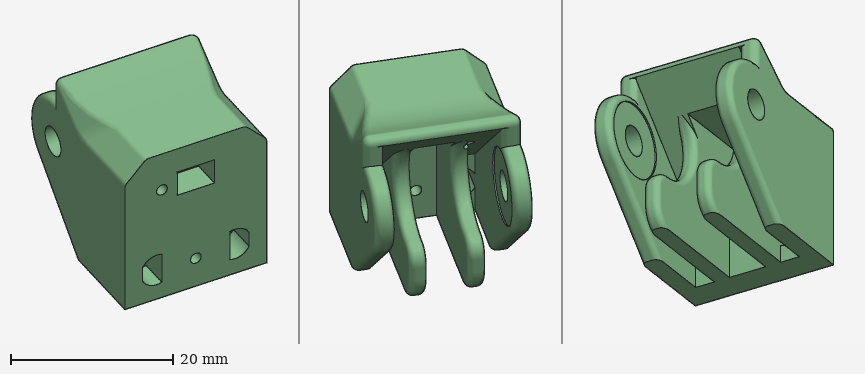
import cadquery as cq
import math

LENGTH = 24.25
WIDTH = 20.0
HALF_WIDTH = WIDTH / 2

EAR_RADIUS = 6.0
PIVOT_X = EAR_RADIUS
PIVOT_Z = 13.999
EAR_THICKNESS = 2.5
EAR_ROUND = 0.8
PIVOT_BORE = 4.0
WASHER_DIAMETER = 10.0
WASHER_DEPTH = 0.2
INNER_HALF = HALF_WIDTH - EAR_THICKNESS

ROOF_Z = 21.998
ROOF_END_X = 15.03
SWEEP_RADIUS = 16.35
SWEEP_END_X = 8.65
CHAMFER = 3.0
HEAD_ROUND = 1.0

FLARE_POINTS = ((10.76, 0.15, 20.75), (8.73, 0.73, 23.32), (16.25, 3.0, 21.9))
FLARE_ROUND = 4.0

CLEARANCE_RADIUS = 6.28
REAR_WALL = 4.0
REAR_FACE_X = LENGTH - REAR_WALL
CEILING_SUM = PIVOT_X + PIVOT_Z + CLEARANCE_RADIUS * math.sqrt(2)

RIB_INNER = 2.62
RIB_THICKNESS = 2.18
RIB_FRONT_X = 3.5
RIB_LOWER_RADIUS = 4.0
RIB_LOWER_Z = 3.08
CLEARANCE_BOTTOM_Z = PIVOT_Z - CLEARANCE_RADIUS
CHANNEL_TOP = PIVOT_Z + CLEARANCE_RADIUS * math.sin(math.pi / 4)
WINDOW_BOTTOM = 14.88

SMALL_HOLE = 1.5
LARGE_HOLE = 4.5
LARGE_HOLE_Y = 5.5
LOWER_HOLE_Z = 4.3
LARGE_HOLE_Z = 4.48
UPPER_HOLE_Y = -4.78
UPPER_HOLE_Z = 16.48

EMBED = 1.2
BEYOND = 48.48
CLEAR_OF = 0.25
TOUCH = 0.002


def polar(radius, degrees):
    """Point on a circle around the pivot, in the XZ plane."""
    angle = math.radians(degrees)
    return PIVOT_X + radius * math.cos(angle), PIVOT_Z + radius * math.sin(angle)


def extrude_y(outline, y_low, y_high):
    """Extrude a closed XZ outline between two Y positions."""
    return outline.extrude(y_low - y_high).translate((0, y_low, 0))


def box(x_range, y_range, z_range):
    corners = list(zip(x_range, y_range, z_range))
    size = [high - low for low, high in zip(*corners)]
    return cq.Workplane("XY").box(*size, centered=False).translate(corners[0])


def round_rim(plate, radius, is_rim):
    """Round the edges lying on both flat sides of a plate that satisfy is_rim(centre)."""
    edges = [e for e in plate.faces("|Y").edges().vals() if is_rim(e.Center())]
    return plate.newObject(edges).fillet(radius)


def make_side_plate():
    """Side plate with its hinge ear, for the -Y side."""
    tangent_x, tangent_z = polar(EAR_RADIUS, 225)
    ear_top = PIVOT_Z + EAR_RADIUS
    buried_x = PIVOT_X + 3 * EMBED
    shoulder_z = ROOF_Z - CHAMFER - EMBED
    foot_x = tangent_x + tangent_z
    outline = (
        cq.Workplane("XZ")
        .moveTo(foot_x, 0)
        .lineTo(tangent_x, tangent_z)
        .threePointArc((0, PIVOT_Z), (PIVOT_X, ear_top))
        .lineTo(buried_x, ear_top)
        .lineTo(buried_x, shoulder_z)
        .lineTo(LENGTH, shoulder_z)
        .lineTo(LENGTH, 0)
        .close()
    )
    plate = extrude_y(outline, -HALF_WIDTH, -INNER_HALF)

    def is_ear_rim(center):
        return center.z > CLEAR_OF and center.x < min(foot_x, buried_x - CLEAR_OF)

    return round_rim(plate, EAR_ROUND, is_ear_rim)


def flare_cutter():
    """Material removed above the roof chamfer and outside the flare, for the -Y side."""
    chamfer_z = ROOF_Z - CHAMFER
    rise = 3 * CHAMFER
    wedge = (
        cq.Workplane("YZ")
        .moveTo(-HALF_WIDTH - EMBED, chamfer_z - EMBED)
        .line(rise, rise)
        .line(-rise, 0)
        .close()
        .extrude(LENGTH + EMBED)
    )
    low, high, rear = [cq.Vector(x, inset - HALF_WIDTH, z) for x, inset, z in FLARE_POINTS]
    inward = (high - low).cross(rear - low)
    flare = cq.Plane(origin=low, xDir=rear - low, normal=inward)
    keep = cq.Workplane(flare).rect(2 * BEYOND, 2 * BEYOND).extrude(BEYOND)
    cutter = wedge.cut(keep)

    def face_along(normal):
        unit = normal.normalized()
        return next(f for f in cutter.faces().vals() if abs(f.normalAt().dot(unit)) > 1 - TOUCH / 2.42)

    flare_face = face_along(inward)
    chamfer_face = face_along(cq.Vector(0, 1, -1))
    shared = [e for e in flare_face.Edges() if any(e.isSame(o) for o in chamfer_face.Edges())]
    return cutter.newObject(shared).fillet(FLARE_ROUND)


def make_head():
    """Roof, lip and upper side walls."""
    sweep_angle = math.asin((ROOF_END_X - SWEEP_END_X) / SWEEP_RADIUS)

    def on_sweep(angle):
        return ROOF_END_X - SWEEP_RADIUS * math.sin(angle), ROOF_Z + SWEEP_RADIUS * (1 - math.cos(angle))

    sweep_x, sweep_z = on_sweep(sweep_angle)
    lip_z = sweep_z + (sweep_x - PIVOT_X) * math.tan(sweep_angle)
    outline = (
        cq.Workplane("XZ")
        .moveTo(PIVOT_X, PIVOT_Z)
        .lineTo(PIVOT_X, lip_z)
        .lineTo(sweep_x, sweep_z)
        .threePointArc(on_sweep(sweep_angle / 2), (ROOF_END_X, ROOF_Z))
        .lineTo(LENGTH, ROOF_Z)
        .lineTo(LENGTH, PIVOT_Z)
        .close()
    )
    head = extrude_y(outline, -HALF_WIDTH, HALF_WIDTH)
    flare = flare_cutter()
    head = head.cut(flare).cut(flare.mirror("XZ"))

    def is_rounded(edge):
        bounds = edge.BoundingBox()
        along_side = bounds.ymax - bounds.ymin < TOUCH
        on_side = along_side and abs(bounds.center.y) > HALF_WIDTH - TOUCH
        on_lip = bounds.xmax < PIVOT_X + TOUCH
        behind_flare = along_side and bounds.xmin > ROOF_END_X + CLEAR_OF
        outside = bounds.zmax > PIVOT_Z + CLEAR_OF and bounds.xmin < LENGTH - CLEAR_OF
        return outside and (on_side or on_lip or behind_flare)

    return head.newObject([e for e in head.edges().vals() if is_rounded(e)]).fillet(HEAD_ROUND)


def cavity_cutter():
    """Open space under the sloping ceiling."""
    outline = (
        cq.Workplane("XZ")
        .moveTo(-EMBED, 0)
        .lineTo(REAR_FACE_X, 0)
        .lineTo(REAR_FACE_X, CEILING_SUM - REAR_FACE_X)
        .lineTo(-EMBED, CEILING_SUM + EMBED)
        .close()
    )
    return extrude_y(outline, -INNER_HALF, INNER_HALF)


def doorway_rounds():
    """Bodies removed to round the inner upright edges of the side walls under the lip."""
    bar_z = (PIVOT_Z + EAR_RADIUS - EAR_ROUND, CEILING_SUM - PIVOT_X)
    cutter = None
    for side in (-1, 1):
        y_range = sorted((side * INNER_HALF, side * (INNER_HALF + EAR_ROUND)))
        bar = box((PIVOT_X, PIVOT_X + EAR_ROUND), y_range, bar_z)
        post = (
            cq.Workplane("XY")
            .center(PIVOT_X + EAR_ROUND, side * (INNER_HALF + EAR_ROUND))
            .circle(EAR_ROUND)
            .extrude(BEYOND)
        )
        bar = bar.cut(post)
        cutter = bar if cutter is None else cutter.union(bar)
    return cutter


def make_core():
    """Solid between the side plates: rear wall and the mass above the ceiling."""
    top_z = ROOF_Z - CHAMFER - EMBED
    outline = (
        cq.Workplane("XZ")
        .moveTo(REAR_FACE_X, 0)
        .lineTo(LENGTH, 0)
        .lineTo(LENGTH, top_z)
        .lineTo(CEILING_SUM - top_z, top_z)
        .lineTo(REAR_FACE_X, CEILING_SUM - REAR_FACE_X)
        .close()
    )
    return extrude_y(outline, -INNER_HALF, INNER_HALF)


def make_rib():
    """Rib on the -Y side of the channel, hollowed by the clearance arc of the hinge."""
    lower_center_x = RIB_FRONT_X + RIB_LOWER_RADIUS

    def on_lower(angle):
        return (
            lower_center_x - RIB_LOWER_RADIUS * math.cos(angle),
            RIB_LOWER_Z - RIB_LOWER_RADIUS * math.sin(angle),
        )

    floor_angle = math.asin(RIB_LOWER_Z / RIB_LOWER_RADIUS)
    upper_radius = PIVOT_X - RIB_FRONT_X
    upper_z = CLEARANCE_BOTTOM_Z - upper_radius
    diagonal = upper_radius * math.sqrt(0.5)
    upper_middle = (PIVOT_X - diagonal, upper_z + diagonal)
    outline = (
        cq.Workplane("XZ")
        .moveTo(*on_lower(floor_angle))
        .threePointArc(on_lower(floor_angle / 2), on_lower(0))
        .lineTo(RIB_FRONT_X, upper_z)
        .threePointArc(upper_middle, (PIVOT_X, CLEARANCE_BOTTOM_Z))
        .threePointArc(polar(CLEARANCE_RADIUS, -22.5), polar(CLEARANCE_RADIUS, 45))
        .lineTo(*polar(CLEARANCE_RADIUS + EMBED, 45))
        .lineTo(REAR_FACE_X + EMBED, CHANNEL_TOP - EMBED)
        .lineTo(REAR_FACE_X + EMBED, 0)
        .close()
    )
    rib = extrude_y(outline, -RIB_INNER - RIB_THICKNESS, -RIB_INNER)
    rim_end = polar(CLEARANCE_RADIUS, 0)[0]
    return round_rim(rib, EAR_ROUND, lambda c: CLEAR_OF < c.z < CHANNEL_TOP and c.x < rim_end)


def rear_hole(diameter, y, z):
    return cq.Workplane("YZ").center(y, z).circle(diameter / 2).extrude(BEYOND)


def hinge_cutter():
    """Pivot bore through both ears and a shallow washer recess on each inner face."""
    pivot = cq.Workplane("XZ").center(PIVOT_X, PIVOT_Z)
    bore = pivot.circle(PIVOT_BORE / 2).extrude(HALF_WIDTH, both=True)
    recess_half = INNER_HALF + WASHER_DEPTH
    return bore.union(pivot.circle(WASHER_DIAMETER / 2).extrude(recess_half, both=True))


result = make_head().cut(cavity_cutter()).cut(doorway_rounds())
side_plate = make_side_plate()
result = result.union(side_plate).union(side_plate.mirror("XZ")).union(make_core())
result = result.cut(hinge_cutter())

rib = make_rib()
result = result.union(rib).union(rib.mirror("XZ"))

channel_y = (-RIB_INNER, RIB_INNER)
result = result.cut(box((0, REAR_FACE_X), channel_y, (0, CHANNEL_TOP)))
result = result.cut(box((REAR_FACE_X, LENGTH), channel_y, (WINDOW_BOTTOM, CHANNEL_TOP)))

result = result.cut(rear_hole(SMALL_HOLE, 0, LOWER_HOLE_Z))
result = result.cut(rear_hole(SMALL_HOLE, UPPER_HOLE_Y, UPPER_HOLE_Z))
for side in (-1, 1):
    clipped = rear_hole(LARGE_HOLE, side * LARGE_HOLE_Y, LARGE_HOLE_Z)
    bay_y = sorted((side * (RIB_INNER + RIB_THICKNESS), side * INNER_HALF))
    bay = box((REAR_FACE_X, LENGTH), bay_y, (0, PIVOT_Z))
    result = result.cut(clipped.intersect(bay))